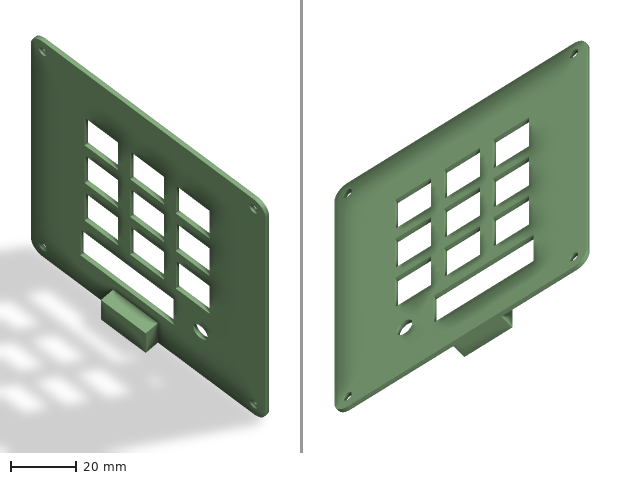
import cadquery as cq

PLATE_WIDTH = 98.1
PLATE_HEIGHT = 108.9
PLATE_THICKNESS = 1.5
CORNER_RADIUS = 5.0

SCREW_HOLE_DIAMETER = 3.4

KEY_COUNT = 3
KEY_OPENING = 14.0
KEY_PITCH = 19.1
KEY_GRID_X = -0.5
KEY_GRID_Z = 5.8

DISPLAY_WIDTH = 39.0
DISPLAY_HEIGHT = 13.0
DISPLAY_X = -8.9
DISPLAY_Z = -33.0
KNOB_HOLE_DIAMETER = 6.0
KNOB_HOLE_X = 21.8

OVERALL_DEPTH = 7.0
BLOCK_WIDTH = 18.7
BLOCK_HEIGHT = 9.9
BLOCK_X = -5.3


def plane_xz():
    """Work plane on the back face: local x is X, local y is Z, extrusion goes toward -Y."""
    return cq.Workplane("XZ")


def make_plate():
    plate = plane_xz().rect(PLATE_WIDTH, PLATE_HEIGHT).extrude(PLATE_THICKNESS)
    return plate.edges("|Y").fillet(CORNER_RADIUS)


def make_screw_holes():
    spacing_x = PLATE_WIDTH - 2 * CORNER_RADIUS
    spacing_z = PLATE_HEIGHT - 2 * CORNER_RADIUS
    corners = plane_xz().rect(spacing_x, spacing_z, forConstruction=True).vertices()
    return corners.circle(SCREW_HOLE_DIAMETER / 2).extrude(PLATE_THICKNESS)


def make_key_openings():
    grid = plane_xz().center(KEY_GRID_X, KEY_GRID_Z)
    grid = grid.rarray(KEY_PITCH, KEY_PITCH, KEY_COUNT, KEY_COUNT)
    return grid.rect(KEY_OPENING, KEY_OPENING).extrude(PLATE_THICKNESS)


def make_display_window():
    window = plane_xz().center(DISPLAY_X, DISPLAY_Z)
    return window.rect(DISPLAY_WIDTH, DISPLAY_HEIGHT).extrude(PLATE_THICKNESS)


def make_knob_hole():
    hole = plane_xz().center(KNOB_HOLE_X, DISPLAY_Z)
    return hole.circle(KNOB_HOLE_DIAMETER / 2).extrude(PLATE_THICKNESS)


def make_block():
    block_z = (BLOCK_HEIGHT - PLATE_HEIGHT) / 2
    block = plane_xz().workplane(offset=PLATE_THICKNESS).center(BLOCK_X, block_z)
    return block.rect(BLOCK_WIDTH, BLOCK_HEIGHT).extrude(OVERALL_DEPTH - PLATE_THICKNESS)


result = (
    make_plate()
    .cut(make_screw_holes())
    .cut(make_key_openings())
    .cut(make_display_window())
    .cut(make_knob_hole())
    .union(make_block())
)